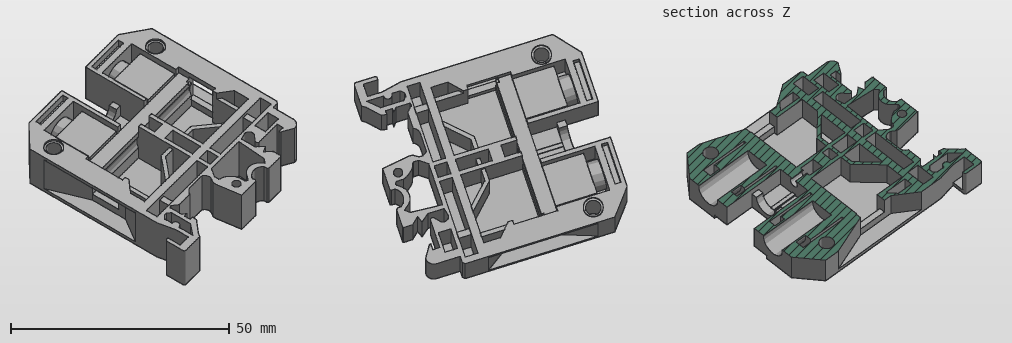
import cadquery as cq

thickness = 12.0
floor = 1.0
wall = 1.0
clamp_floor = 2 * floor

body_half_width = 23.0
body_back = 41.6
rear_bevel = 0.5
corner_length = 5.0
corner_width = 6.15

notch_half_width = 4.45
bar_front = 16.95
bar_back = 20.6
bar_top = 10.0
clamp_top = thickness - wall

pocket_back = 35.45
pocket_half_width = 16.5
pocket_wide_half_width = 17.45
window_front = 19.95
window_back = 27.5
vane_front = 29.55
rib_inner = 1.45
rib_outer = rib_inner + wall


def box(x_range, y_range, z_range):
    """Axis-aligned block between the given limits."""
    size = [high - low for low, high in (x_range, y_range, z_range)]
    corner = (x_range[0], y_range[0], z_range[0])
    return cq.Workplane("XY").box(*size, centered=False).translate(corner)


def prism(points, bottom, top):
    """Closed polygon in XY raised from bottom to top."""
    return cq.Workplane("XY").workplane(offset=bottom).polyline(points).close().extrude(top - bottom)


def cylinder_z(x, y, radius, bottom, top):
    return cq.Workplane("XY").workplane(offset=bottom).center(x, y).circle(radius).extrude(top - bottom)


def cylinder_x(y, z, radius, start, end):
    return cq.Workplane("YZ").workplane(offset=start).center(y, z).circle(radius).extrude(end - start)


def both_sides(shape):
    """The shape together with its mirror image across Y = 0."""
    return shape.union(shape.mirror("XZ"))


foot_bottom = -26.0
foot_front = 46.45
foot_edge = 0.5
arm_back = 52.0


def make_profile():
    outline = (
        cq.Workplane("XY")
        .moveTo(0, notch_half_width)
        .lineTo(0, body_half_width - corner_width)
        .lineTo(corner_length, body_half_width)
        .lineTo(body_back - rear_bevel, body_half_width)
        .lineTo(body_back, body_half_width - rear_bevel)
        .lineTo(body_back, 20.95)
        .lineTo(47.6, 20.95)
        .threePointArc((48.7, 20.4), (49.3, 19.35))
        .lineTo(49.3, 18.95)
        .lineTo(47.55, 16.15)
        .lineTo(47.05, 15.9)
        .lineTo(47.05, 17.45)
        .lineTo(45.4, 17.45)
        .lineTo(45.4, 10.55)
        .threePointArc((44.95, 10.2), (44.3, 10.5))
        .lineTo(43.3, 11.65)
        .threePointArc((42.3, 11.95), (41.2, 10.7))
        .lineTo(41.6, 8.95)
        .lineTo(45.5, 8.95)
        .lineTo(47.35, 10.45)
        .lineTo(47.95, 8.9)
        .lineTo(49.6, 10.4)
        .lineTo(arm_back - 0.15, 10.4)
        .lineTo(arm_back, 10.2)
        .lineTo(arm_back, 5.8)
        .lineTo(51.7, 5.45)
        .lineTo(50.8, 5.45)
        .threePointArc((49.6, 3.3), (50.8, 1.05))
        .lineTo(51.7, 1.05)
        .lineTo(arm_back, 0.8)
        .lineTo(arm_back, -4.5)
        .lineTo(45.35, -5.5)
        .lineTo(44.45, -5.45)
        .lineTo(43.25, -4.7)
        .threePointArc((42.4, -4.65), (41.2, -5.45))
        .lineTo(41.2, -9.95)
        .threePointArc((41.5, -10.75), (42.4, -11.5))
        .lineTo(42.4, -15.5)
        .lineTo(41.05, -16.9)
        .lineTo(41.2, -17.45)
        .lineTo(44.6, -17.45)
        .lineTo(45.4, -16.55)
        .lineTo(45.4, -17.45)
        .lineTo(47.05, -17.45)
        .lineTo(47.05, -16.55)
        .lineTo(48.35, -16.75)
        .lineTo(51.05, -19.6)
        .lineTo(arm_back, -20.3)
        .lineTo(arm_back, foot_bottom + foot_edge)
        .radiusArc((arm_back - foot_edge, foot_bottom), foot_edge)
        .lineTo(foot_front + foot_edge, foot_bottom)
        .radiusArc((foot_front, foot_bottom + foot_edge), foot_edge)
        .lineTo(foot_front, -22.0)
        .lineTo(body_back, -body_half_width)
        .lineTo(corner_length, -body_half_width)
        .lineTo(0, corner_width - body_half_width)
        .lineTo(0, -notch_half_width)
        .lineTo(bar_front, -notch_half_width)
        .lineTo(bar_front, notch_half_width)
        .close()
    )
    return outline.extrude(thickness)


def make_arm_window():
    """Opening through the centre arm, bulging around the round seat."""
    outline = (
        cq.Workplane("XY")
        .moveTo(body_back, 7.95)
        .lineTo(49.35, 7.4)
        .lineTo(50.35, 6.5)
        .lineTo(49.05, 5.45)
        .threePointArc((48.1, 3.3), (49.05, 1.2))
        .lineTo(50.2, 0.2)
        .threePointArc((50.25, -0.3), (49.85, -0.6))
        .lineTo(48.2, -0.6)
        .threePointArc((46.85, -1.3), (45.35, -2.75))
        .lineTo(45.15, -3.5)
        .lineTo(44.8, -3.85)
        .lineTo(43.6, -3.85)
        .lineTo(body_back, -2.35)
        .close()
    )
    return outline.extrude(thickness)


def make_foot_window():
    """Spring opening through the rail foot, with a round stop bulging into it."""
    top, bottom, corner = -18.5, -20.95, 0.85
    outline = (
        cq.Workplane("XY")
        .moveTo(body_back + corner, top)
        .lineTo(47.95, top)
        .lineTo(50.5, bottom)
        .lineTo(46.45, bottom)
        .threePointArc((45.45, -19.9), (44.45, bottom))
        .lineTo(body_back + corner, bottom)
        .lineTo(body_back, bottom + corner)
        .lineTo(body_back, top - corner)
        .close()
    )
    return outline.extrude(thickness)


def make_rear_openings():
    arm_hole = cylinder_z(48.95, -2.5, 1.05, 0, thickness)
    hook_pocket = box((41.6, 44.6), (14.05, 18.95), (floor, thickness))
    foot_pocket = box((foot_front, 49.95), (-25.05, -22.0), (floor, thickness))
    return make_arm_window().union(make_foot_window()).union(arm_hole).union(hook_pocket).union(foot_pocket)


recess_front = 9.0
recess_floor = 19.0
window_bottom = 3.05
window_top = 10.55


def make_side_recess():
    tapered = prism(
        [
            (recess_front, body_half_width),
            (window_front, recess_floor),
            (vane_front, recess_floor),
            (pocket_back, body_half_width),
        ],
        floor, thickness - floor,
    )
    window = box((window_front, window_back), (pocket_half_width, recess_floor), (window_bottom, window_top))
    return both_sides(tapered.union(window))


def make_pockets():
    deep = (floor, thickness)
    side_pocket = box((bar_back, pocket_back), (rib_outer, pocket_half_width), deep)
    widening = box((window_front, window_back), (pocket_half_width, pocket_wide_half_width), deep)
    slanted_half_width = 19.55
    slanted = prism(
        [
            (28.65, pocket_half_width),
            (31.4, slanted_half_width),
            (pocket_back, slanted_half_width),
            (pocket_back, pocket_half_width),
        ],
        *deep,
    )
    thin_wall = box((window_back, pocket_back), (pocket_half_width, pocket_wide_half_width), (0, bar_top))
    side_pocket = side_pocket.union(widening).union(slanted.cut(thin_wall))
    above_bar = box((bar_front, bar_back), (0, pocket_half_width), (bar_top, thickness))
    above_bar_end = box((bar_front, window_front), (0, pocket_wide_half_width), (bar_top, thickness))
    pockets = both_sides(side_pocket.union(above_bar).union(above_bar_end))
    for start, end in ((bar_back, 24.5), (window_back, pocket_back)):
        pockets = pockets.union(box((start, end), (-rib_inner, rib_inner), deep))
    return pockets


vane_low_top = 7.0


def make_vane():
    overlap = 0.1
    back = pocket_back + overlap
    bend_front, bend_back = 5.55, 5.15
    vane_back = vane_front + wall
    bent = prism(
        [
            (vane_front, rib_inner),
            (vane_front, bend_front),
            (back, bend_front + back - vane_front),
            (back, bend_back + back - vane_back),
            (vane_back, bend_back),
            (vane_back, rib_inner),
        ],
        floor, clamp_top,
    )
    middle = box((vane_front, vane_back), (-rib_outer, rib_outer), (floor, vane_low_top))
    return both_sides(bent).union(middle)


slot_front = 37.5
slot_back = 40.55


def make_rear_slots():
    deep = (floor, thickness)
    outer_slot = box((slot_front, slot_back), (rib_outer, 21.5), deep)
    bridge = box((slot_front, slot_back), (15.0, pocket_half_width), (0, clamp_top))
    middle_slot = box((slot_front, slot_back), (-rib_inner, rib_inner), deep)
    return both_sides(outer_slot.cut(bridge)).union(middle_slot)


clamp_centre = 10.95
entry_centre = 10.7
entry_height = 6.5
entry_radius = 3.05
sleeve_radius = 3.6
clamp_front = 6.95
clamp_pocket_front = 4.1
clamp_half_width = 5.0
clamp_pocket_half_width = 5.5
entry_depth = 15.6


def make_clamp_pockets():
    pocket = box(
        (clamp_pocket_front, bar_front),
        (clamp_centre - clamp_pocket_half_width, clamp_centre + clamp_pocket_half_width),
        (clamp_floor, thickness),
    )
    clamp = box(
        (clamp_front, bar_front),
        (clamp_centre - clamp_half_width, clamp_centre + clamp_half_width),
        (0, clamp_top),
    )
    sleeve = cylinder_x(entry_centre, entry_height, sleeve_radius, 0, clamp_front)
    front_slot = box((1.05, 2.5), (5.45, 15.5), (bar_top, thickness))
    entry = cylinder_x(entry_centre, entry_height, entry_radius, 0, entry_depth)
    return both_sides(pocket.cut(clamp).cut(sleeve).union(front_slot).union(entry))


def make_screw_holes():
    x, y = 8.95, 19.2
    hole_radius, step_radius, step_depth = 1.75, 2.3, 0.5
    hole = cylinder_z(x, y, hole_radius, floor, thickness)
    step = cylinder_z(x, y, step_radius, thickness - step_depth, thickness)
    return both_sides(hole.union(step))


saddle_front = 7.95
saddle_back = 10.05
saddle_top = 5.45
saddle_radius = 3.0


def make_trough():
    span = (-notch_half_width, notch_half_width)
    saddle = box((saddle_front, saddle_back), span, (floor, saddle_top))
    saddle = saddle.cut(cylinder_x(0, saddle_top, saddle_radius, saddle_front, saddle_back))
    stiffener_height = 0.4
    base = box((saddle_back, bar_front), span, (floor, clamp_floor))
    stiffener = box((saddle_back, bar_front), (-wall / 2, wall / 2), (floor, clamp_floor + stiffener_height))
    return saddle.union(base).union(stiffener)


groove_radius = 4.15
groove_depth = 0.45
bar_step_top = 9.0


def make_bar_steps():
    return both_sides(
        box((window_front, bar_back), (pocket_half_width, pocket_wide_half_width), (floor, bar_step_top))
    )


def make_bar_groove():
    span = (rib_outer, pocket_wide_half_width)
    axis_x = bar_back - groove_depth + groove_radius
    cylinder = (
        cq.Workplane("XZ", origin=(0, span[1], 0))
        .center(axis_x, entry_height)
        .circle(groove_radius)
        .extrude(span[1] - span[0])
    )
    return both_sides(cylinder.intersect(box((bar_front, bar_back), span, (0, thickness))))


bar_hole_height = 6.0
bar_hole_radius = 1.15
underside_half_width = 8.6

bar_hole = cylinder_x(0, bar_hole_height, bar_hole_radius, bar_front, bar_back)
underside_recess = box((0, bar_front), (-underside_half_width, underside_half_width), (0, floor))

result = (
    make_profile()
    .cut(make_rear_openings())
    .cut(make_pockets())
    .cut(make_side_recess())
    .cut(make_rear_slots())
    .cut(make_clamp_pockets())
    .cut(make_screw_holes())
    .union(make_bar_steps())
    .cut(make_bar_groove())
    .cut(bar_hole)
    .cut(underside_recess)
    .union(make_vane())
    .union(make_trough())
)